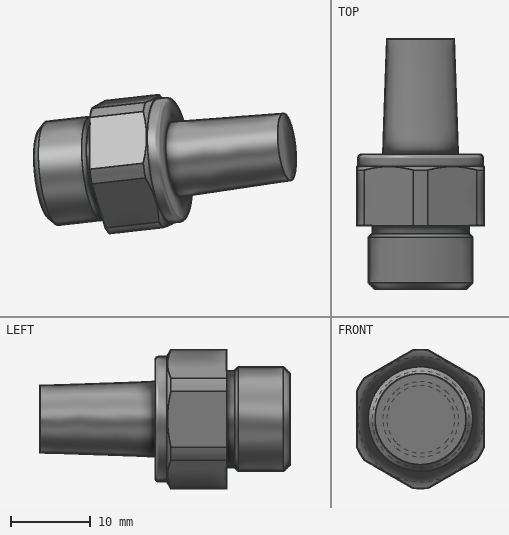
import cadquery as cq
import math

thread_dia = 13.16
thread_tip_dia = 11.45
neck_dia = 12.2
collar_dia = 15.76
stem_root_dia = 9.5
stem_tip_dia = 8.5

across_flats = 16.0
hex_corner_dia = 17.49
hex_chamfer_angle = 30.0

thread_length = 7.0
neck_length = 1.0
hex_length = 7.5
collar_length = 1.5
stem_length = 14.5

collar_rounding = 0.5

neck_start = thread_length
hex_start = neck_start + neck_length
collar_start = hex_start + hex_length
stem_start = collar_start + collar_length
stem_end = stem_start + stem_length


def revolve_about_y(profile):
    """Solid of revolution about Y from (radius, y) corner points."""
    outline = cq.Workplane("XY").polyline(profile).close()
    return outline.revolve(360, (0, 0, 0), (0, 1, 0))


def cylinder_along_y(diameter, start, end):
    radius = diameter / 2
    return revolve_about_y([(0, start), (radius, start), (radius, end), (0, end)])


def threaded_end():
    """Plain thread body with 45 degree chamfers at the tip and towards the neck."""
    tip_radius = thread_tip_dia / 2
    radius = thread_dia / 2
    neck_radius = neck_dia / 2
    tip_chamfer = radius - tip_radius
    neck_chamfer = radius - neck_radius
    return revolve_about_y([
        (0, 0),
        (tip_radius, 0),
        (radius, tip_chamfer),
        (radius, thread_length - neck_chamfer),
        (neck_radius, thread_length),
        (0, thread_length),
    ])


def neck():
    return cylinder_along_y(neck_dia, neck_start, hex_start)


def hexagon():
    """Hexagon with flats facing +X and -X, turned corners and an end chamfered down to the collar."""
    prism = (
        cq.Workplane("XZ", origin=(0, hex_start, 0))
        .polygon(6, across_flats, circumscribed=True)
        .extrude(-hex_length)
    )
    corner_radius = hex_corner_dia / 2
    chamfer_top_radius = collar_dia / 2
    chamfer_depth = corner_radius - chamfer_top_radius
    chamfer_height = chamfer_depth * math.tan(math.radians(hex_chamfer_angle))
    turned_blank = revolve_about_y([
        (0, hex_start),
        (corner_radius, hex_start),
        (corner_radius, collar_start - chamfer_height),
        (chamfer_top_radius, collar_start),
        (0, collar_start),
    ])
    return prism.intersect(turned_blank)


def collar():
    disc = cylinder_along_y(collar_dia, collar_start, stem_start)
    return disc.faces(">Y").edges().fillet(collar_rounding)


def stem():
    """Tapered stem, narrowing towards its free end."""
    root_radius = stem_root_dia / 2
    tip_radius = stem_tip_dia / 2
    return revolve_about_y([
        (0, stem_start),
        (root_radius, stem_start),
        (tip_radius, stem_end),
        (0, stem_end),
    ])


result = threaded_end().union(neck()).union(hexagon()).union(collar()).union(stem())